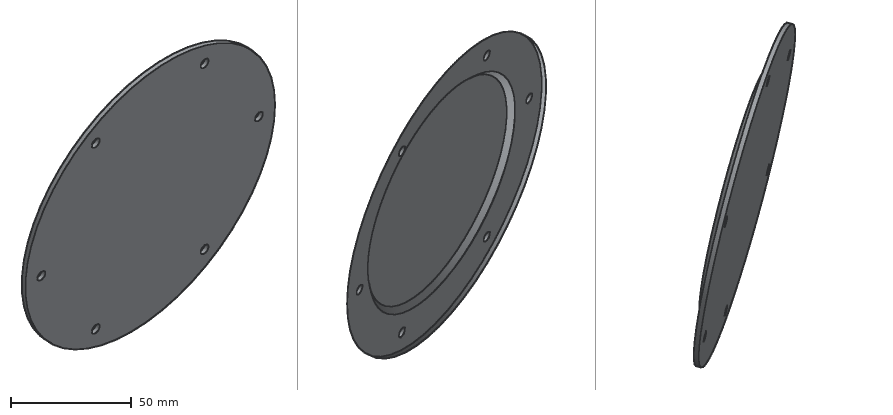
import cadquery as cq

flange_diameter = 147.0
flange_thickness = 2.2

neck_diameter = 105.5
neck_length = 1.0
head_base_diameter = 110.0
head_height = 2.5

hole_count = 6
hole_diameter = 4.5
hole_circle_diameter = 128.0


def make_flange():
    """Plain disc from X = 0 toward +X, with a ring of through holes."""
    hole_circle_radius = hole_circle_diameter / 2
    return (
        cq.Workplane("YZ")
        .circle(flange_diameter / 2)
        .extrude(flange_thickness)
        .faces("<X")
        .workplane()
        .polarArray(hole_circle_radius, 0, 360, hole_count)
        .hole(hole_diameter)
    )


def make_raised_disc():
    """Neck and tapered head revolved about X, rising from the flange toward -X."""
    neck_radius = neck_diameter / 2
    base_radius = head_base_diameter / 2
    face_radius = base_radius - head_height
    face_x = -(neck_length + head_height)
    return (
        cq.Workplane("XY")
        .moveTo(0, 0)
        .lineTo(0, neck_radius)
        .lineTo(-neck_length, neck_radius)
        .lineTo(-neck_length, base_radius)
        .lineTo(face_x, face_radius)
        .lineTo(face_x, 0)
        .close()
        .revolve(360, (0, 0, 0), (1, 0, 0))
    )


result = make_flange().union(make_raised_disc())